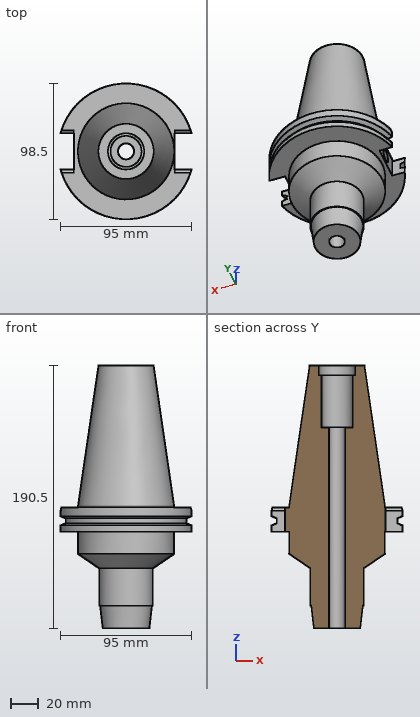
import cadquery as cq

total_height = 190.5
gauge_line_z = 88.8
flange_top_z = 87.6
flange_bottom_z = 70.0
body_bottom_z = 54.0
nose_shoulder_z = 43.5
nose_taper_z = 16.5

flange_radius = 98.5 / 2
body_radius = 34.9
taper_top_radius = 20.0
nose_radius = 19.5
nose_taper_start_radius = 18.9
nose_tip_radius = 17.0

groove_z = 78.0
groove_floor_radius = 45.7
groove_floor_width = 3.5
groove_mouth_width = 6.7

slot_width = 26.1
slot_chamfer = 2.3
slot_floor_left = 37.7
slot_floor_right = 35.2
dimple_radius = 5.0
dimple_depth = 0.2

through_radius = 5.7
thread_bore_radius = 11.2
thread_bore_depth = 45.0
counterbore_radius = 13.1
counterbore_depth = 7.0


def revolved_body():
    """Solid of revolution: nose, body, grooved flange and steep taper."""
    floor_half = groove_floor_width / 2
    mouth_half = groove_mouth_width / 2
    outline = [
        (0, 0),
        (nose_tip_radius, 0),
        (nose_taper_start_radius, nose_taper_z),
        (nose_radius, nose_taper_z),
        (nose_radius, nose_shoulder_z),
        (body_radius, body_bottom_z),
        (body_radius, flange_bottom_z),
        (flange_radius, flange_bottom_z),
        (flange_radius, groove_z - mouth_half),
        (groove_floor_radius, groove_z - floor_half),
        (groove_floor_radius, groove_z + floor_half),
        (flange_radius, groove_z + mouth_half),
        (flange_radius, flange_top_z),
        (body_radius, flange_top_z),
        (body_radius, gauge_line_z),
        (taper_top_radius, total_height),
        (0, total_height),
    ]
    return cq.Workplane("XZ").polyline(outline).close().revolve(360, (0, 0, 0), (0, 1, 0))


def drive_slot(side, floor_distance):
    """Slot cutter with chamfered upper edges; side is -1 for -X or +1 for +X."""
    half = slot_width / 2
    profile = [
        (-half, flange_bottom_z),
        (half, flange_bottom_z),
        (half, flange_top_z - slot_chamfer),
        (half + slot_chamfer, flange_top_z),
        (-half - slot_chamfer, flange_top_z),
        (-half, flange_top_z - slot_chamfer),
    ]
    cutter = cq.Workplane("YZ").polyline(profile).close().extrude(side * flange_radius)
    return cutter.translate((side * floor_distance, 0, 0))


def axial_hole(radius, depth):
    """Cylindrical cutter going down from the top face."""
    return cq.Workplane("XY").workplane(offset=total_height).circle(radius).extrude(-depth)


result = revolved_body()
for slot_side, slot_floor in ((-1, slot_floor_left), (1, slot_floor_right)):
    result = result.cut(drive_slot(slot_side, slot_floor))

for hole_radius, hole_depth in (
    (through_radius, total_height),
    (thread_bore_radius, thread_bore_depth),
    (counterbore_radius, counterbore_depth),
):
    result = result.cut(axial_hole(hole_radius, hole_depth))

dimple = (
    cq.Workplane("YZ", origin=(-slot_floor_left, 0, groove_z))
    .circle(dimple_radius)
    .extrude(dimple_depth)
)
result = result.cut(dimple)